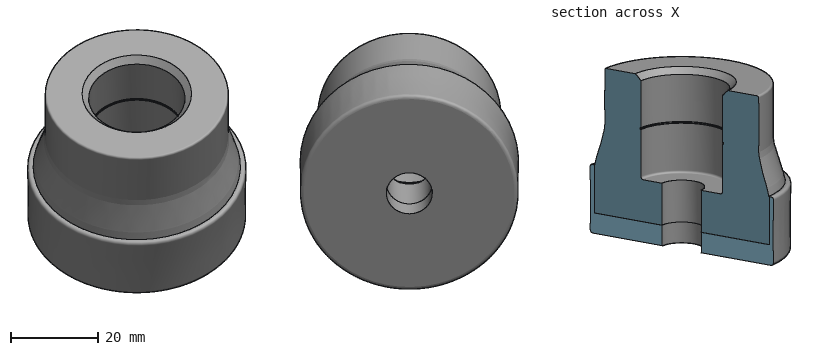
import cadquery as cq

height = 40.0
hole_radius = 10.5 / 2

cup_height = 16.5
cup_lip_radius = 25.05
cup_waist_radius = 24.9
cup_foot_radius = 25.0
cup_floor = 5.0
lip_straight_z = cup_height - 1.0
lip_round = 0.75
foot_round = 0.85

seat_radius = 23.75
neck_radius = 42.0 / 2
neck_base_z = 25.75
band_lower_radius = 23.3
band_upper_radius = 23.2
band_z = 18.3
band_height = 0.3
neck_blend = 5.0
top_round = 0.5

bore_radius = 22.05 / 2
bore_mouth_radius = 12.5
bore_mouth_depth = 1.45
bore_floor_z = 15.0
bore_floor_round = 0.55
groove_radius = 22.5 / 2
groove_height = 0.35
groove_z = 26.9


def through_hole(start_z, length):
    return cq.Workplane("XY").workplane(offset=start_z).circle(hole_radius).extrude(length)


def make_cup():
    """Sleeve with a slightly waisted side, rounded lip and foot, and a cylindrical seat."""
    cup = (
        cq.Workplane("XZ")
        .lineTo(cup_foot_radius, 0)
        .threePointArc((cup_waist_radius, lip_straight_z / 2), (cup_lip_radius, lip_straight_z))
        .lineTo(cup_lip_radius, cup_height)
        .lineTo(0, cup_height)
        .close()
        .revolve(360, (0, 0, 0), (0, 1, 0))
        .faces("<Z").edges().fillet(foot_round)
        .faces(">Z").edges().fillet(lip_round)
    )
    seat = cq.Workplane("XY").workplane(offset=cup_floor).circle(seat_radius).extrude(cup_height - cup_floor)
    cup = cup.cut(seat)
    return cup.cut(through_hole(0, cup_floor))


def make_core_blank():
    """Seat cylinder, two tapers parted by a narrow band, and the upper neck."""
    blank = (
        cq.Workplane("XZ")
        .moveTo(0, cup_floor)
        .lineTo(seat_radius, cup_floor)
        .lineTo(seat_radius, cup_height)
        .lineTo(band_lower_radius, band_z)
        .lineTo(band_upper_radius, band_z + band_height)
        .lineTo(neck_radius, neck_base_z)
        .lineTo(neck_radius, height)
        .lineTo(0, height)
        .close()
        .revolve(360, (0, 0, 0), (0, 1, 0))
    )
    near_neck_base = cq.selectors.BoxSelector(
        (-neck_radius, -neck_radius, neck_base_z - 0.5),
        (neck_radius, neck_radius, neck_base_z + 0.5),
    )
    blank = blank.edges("%CIRCLE").edges(near_neck_base).fillet(neck_blend)
    return blank.faces(">Z").edges().fillet(top_round)


def make_bore():
    """Counterbore volume with a flared mouth and a rounded floor corner."""
    return (
        cq.Workplane("XZ")
        .moveTo(0, bore_floor_z)
        .lineTo(bore_radius, bore_floor_z)
        .lineTo(bore_radius, height - bore_mouth_depth)
        .lineTo(bore_mouth_radius, height)
        .lineTo(0, height)
        .close()
        .revolve(360, (0, 0, 0), (0, 1, 0))
        .faces("<Z").edges().fillet(bore_floor_round)
    )


def make_core():
    groove = cq.Workplane("XY").workplane(offset=groove_z).circle(groove_radius).extrude(groove_height)
    hole = through_hole(cup_floor, bore_floor_z - cup_floor)
    return make_core_blank().cut(make_bore()).cut(groove).cut(hole)


cup = make_cup()
core = make_core()
result = cq.Compound.makeCompound([cup.val(), core.val()])